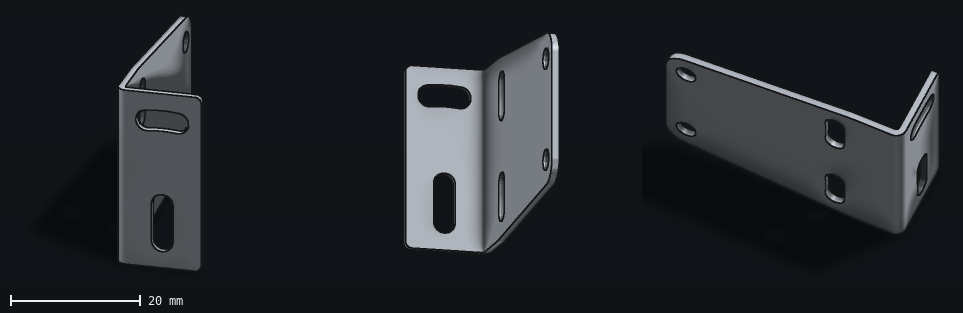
import cadquery as cq
import math

LENGTH = 40.2
FLANGE_WIDTH = 13.7
HEIGHT = 29.0
THICKNESS = 1.2
INNER_BEND_RADIUS = 0.5
OUTER_BEND_RADIUS = INNER_BEND_RADIUS + THICKNESS

TAPER_START = 9.0
TAPER_ANGLE = 5.0
PLATE_CORNER_RADIUS = 3.5
FLANGE_CORNER_RADIUS = 1.0

PIVOT_Y = 36.7
PIVOT_SPACING = 16.0
PIVOT_DIAMETER = 3.3
PLATE_SLOT_RADIUS = 25.4
PLATE_SLOT_WIDTH = 3.2
PLATE_SLOT_SPAN = 4.5

FLANGE_SLOT_X = 7.48
FLANGE_SLOT_WIDTH = 3.4
STRAIGHT_SLOT_Z = 7.48
STRAIGHT_SLOT_LENGTH = 9.45
STRAIGHT_SLOT_SPAN = STRAIGHT_SLOT_LENGTH - FLANGE_SLOT_WIDTH
CURVED_SLOT_Z = 24.5
CURVED_SLOT_SPAN = 5.0
CURVED_SLOT_PIVOT_Z = STRAIGHT_SLOT_Z - STRAIGHT_SLOT_SPAN / 2
CURVED_SLOT_RADIUS = CURVED_SLOT_Z - CURVED_SLOT_PIVOT_Z


def bent_sheet():
    """Constant-height L section with a rounded bend."""
    section = (
        cq.Workplane("XY")
        .moveTo(0, 0)
        .lineTo(FLANGE_WIDTH, 0)
        .lineTo(FLANGE_WIDTH, THICKNESS)
        .lineTo(THICKNESS, THICKNESS)
        .lineTo(THICKNESS, LENGTH)
        .lineTo(0, LENGTH)
        .close()
        .extrude(HEIGHT)
    )
    outer_edge = cq.selectors.NearestToPointSelector((0, 0, HEIGHT / 2))
    section = section.edges(outer_edge).fillet(OUTER_BEND_RADIUS)
    inner_edge = cq.selectors.NearestToPointSelector((THICKNESS, THICKNESS, HEIGHT / 2))
    return section.edges(inner_edge).fillet(INNER_BEND_RADIUS)


def plate_envelope():
    """Tapered side outline, full width along X, with rounded far corners."""
    drop = (LENGTH - TAPER_START) * math.tan(math.radians(TAPER_ANGLE))
    return (
        cq.Workplane("YZ")
        .moveTo(0, 0)
        .lineTo(TAPER_START, 0)
        .lineTo(LENGTH, drop)
        .lineTo(LENGTH, HEIGHT - drop)
        .lineTo(TAPER_START, HEIGHT)
        .lineTo(0, HEIGHT)
        .close()
        .extrude(FLANGE_WIDTH)
        .faces(">Y")
        .edges("|X")
        .fillet(PLATE_CORNER_RADIUS)
    )


def curved_slot(plane, pivot, radius, span, width, middle_angle):
    """Round-ended slot following an arc about the pivot; span is the chord between its end centres."""
    half_angle = math.asin(span / 2 / radius)
    middle = math.radians(middle_angle)
    start = middle - half_angle
    end = middle + half_angle
    inner = radius - width / 2
    outer = radius + width / 2

    def polar(distance, angle):
        return (pivot[0] + distance * math.cos(angle), pivot[1] + distance * math.sin(angle))

    def cap_middle(angle, side):
        centre = polar(radius, angle)
        direction = angle + side * math.pi / 2
        return (
            centre[0] + width / 2 * math.cos(direction),
            centre[1] + width / 2 * math.sin(direction),
        )

    return (
        cq.Workplane(plane)
        .moveTo(*polar(outer, start))
        .threePointArc(polar(outer, middle), polar(outer, end))
        .threePointArc(cap_middle(end, 1), polar(inner, end))
        .threePointArc(polar(inner, middle), polar(inner, start))
        .threePointArc(cap_middle(start, -1), polar(outer, start))
        .close()
    )


def cut_plate_openings(body):
    """Two pivot holes near the far end, each with its curved slot near the bend."""
    for side in (-1, 1):
        pivot = (PIVOT_Y, HEIGHT / 2 + side * PIVOT_SPACING / 2)
        hole = cq.Workplane("YZ").center(*pivot).circle(PIVOT_DIAMETER / 2).extrude(THICKNESS)
        slot = curved_slot("YZ", pivot, PLATE_SLOT_RADIUS, PLATE_SLOT_SPAN, PLATE_SLOT_WIDTH, 180)
        body = body.cut(hole).cut(slot.extrude(THICKNESS))
    return body


def cut_flange_openings(body):
    """Straight vertical slot and the curved slot above it."""
    straight = (
        cq.Workplane("XZ")
        .center(FLANGE_SLOT_X, STRAIGHT_SLOT_Z)
        .slot2D(STRAIGHT_SLOT_LENGTH, FLANGE_SLOT_WIDTH, 90)
        .extrude(-THICKNESS)
    )
    pivot = (FLANGE_SLOT_X, CURVED_SLOT_PIVOT_Z)
    curved = curved_slot("XZ", pivot, CURVED_SLOT_RADIUS, CURVED_SLOT_SPAN, FLANGE_SLOT_WIDTH, 90)
    return body.cut(straight).cut(curved.extrude(-THICKNESS))


bracket = bent_sheet().intersect(plate_envelope())
bracket = bracket.faces(">X").edges("|Y").fillet(FLANGE_CORNER_RADIUS)
bracket = cut_plate_openings(bracket)
result = cut_flange_openings(bracket)